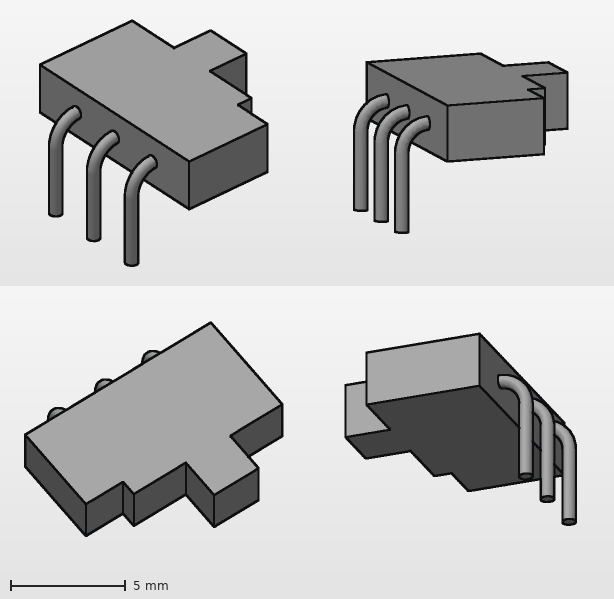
import cadquery as cq
import math

body_length = 10.0
body_depth = 4.5
body_height = 2.5

plate_length = 8.0
plate_depth = 0.8

lever_width = 2.4
lever_depth = 2.1

pin_count = 3
pin_pitch = 2.54
pin_diameter = 0.6
pin_reach = 1.5
leg_length = 3.5

left_end = -body_length / 2
plate_center_x = left_end + plate_length / 2
pin_exit_z = body_height / 2
pin_offset = pin_reach - pin_diameter / 2

bend_radius = (pin_offset**2 + pin_exit_z**2) / (2 * pin_offset)
bend_center_y = bend_radius - pin_offset
bend_turn = math.atan2(pin_exit_z, bend_center_y)
bend_mid_y = bend_center_y - bend_radius * math.cos(bend_turn / 2)
bend_mid_z = bend_radius * math.sin(bend_turn / 2)


def block(center_x, width, start_y, depth):
    """Full-height block that runs from start_y toward +Y."""
    corner = (center_x - width / 2, start_y, 0)
    return cq.Workplane("XY").box(width, depth, body_height, centered=False).translate(corner)


def bent_pin(center_x):
    """Round pin that leaves the front face and bends straight down.

    The bend is slightly taller than it is deep, so it turns a little less than 90
    degrees. Its round section starts upright and ends slightly slanted, and the leg
    carries this slanted end straight down to the tip.
    """
    path = (
        cq.Workplane("YZ", origin=(center_x, 0, 0))
        .moveTo(0, pin_exit_z)
        .threePointArc((bend_mid_y, bend_mid_z), (-pin_offset, 0))
        .lineTo(-pin_offset, -leg_length)
    )
    section = cq.Workplane("XZ", origin=(center_x, 0, pin_exit_z)).circle(pin_diameter / 2)
    return section.sweep(path)


body = block(0, body_length, 0, body_depth)
plate = block(plate_center_x, plate_length, body_depth, plate_depth)
lever = block(plate_center_x, lever_width, body_depth + plate_depth, lever_depth)

slide = plate.union(lever)
result = body.union(slide, clean=False)
for index in range(pin_count):
    pin_x = (index - (pin_count - 1) / 2) * pin_pitch
    result = result.union(bent_pin(pin_x), clean=False)